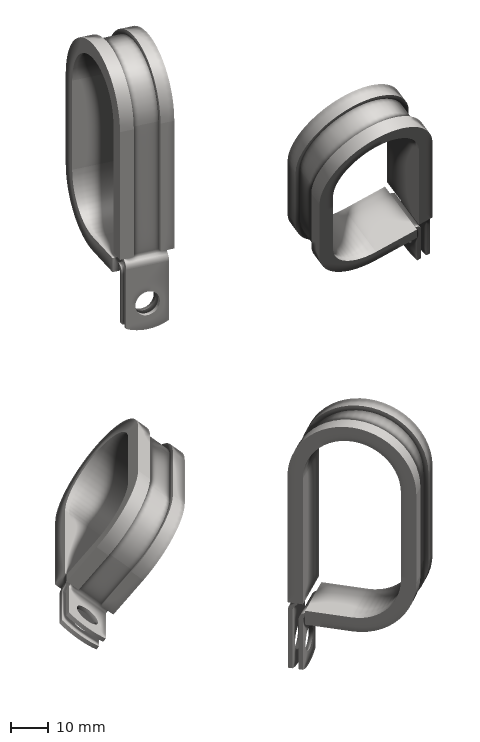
import cadquery as cq
import math

overall_height = 78.8
cushion_width = 15.75
cushion_thickness = 4.25
loop_right_x = 35.5
outer_radius = loop_right_x / 2
inner_radius = outer_radius - cushion_thickness
upper_center_z = overall_height - outer_radius
lower_center_z = 34.1
foot_end_x = 30.65
long_leg_end_z = 22.45
loop_bottom_z = lower_center_z - outer_radius

groove_width = 7.7
groove_depth = 1.4
groove_floor_radius = outer_radius - groove_depth

strap_thickness = 1.2
tab_width = 12.45
bend_inner_radius = 1.1
bend_outer_radius = bend_inner_radius + strap_thickness
jog_angle = 45.0
outer_tab_face_x = 35.85
tip_height = 1.4
hole_diameter = 7.1
hole_center_z = 7.8


def extrude_centered(profile, width):
    """Extrude an XZ profile symmetrically about Y = 0."""
    return profile.extrude(width / 2, both=True)


def oblong(radius):
    """Solid oblong with round ends, as wide as the cushion along Y."""
    profile = (
        cq.Workplane("XZ")
        .moveTo(outer_radius - radius, lower_center_z)
        .lineTo(outer_radius - radius, upper_center_z)
        .threePointArc((outer_radius, upper_center_z + radius), (outer_radius + radius, upper_center_z))
        .lineTo(outer_radius + radius, lower_center_z)
        .threePointArc((outer_radius, lower_center_z - radius), (outer_radius - radius, lower_center_z))
        .close()
    )
    return extrude_centered(profile, cushion_width)


def loop_blank(radius):
    """Full outside shape: round on the left and top, square at the lower right."""
    corner = cq.Workplane("XZ").moveTo(outer_radius, lower_center_z)
    corner = corner.rect(radius, -radius, centered=False)
    return oblong(radius).union(extrude_centered(corner, cushion_width))


def opening_cutter():
    """Space below the long leg and to the right of the foot."""
    inner_right_x = loop_right_x - cushion_thickness
    inner_bottom_z = loop_bottom_z + cushion_thickness
    profile = (
        cq.Workplane("XZ")
        .moveTo(foot_end_x, loop_bottom_z)
        .lineTo(loop_right_x, loop_bottom_z)
        .lineTo(loop_right_x, long_leg_end_z)
        .lineTo(inner_right_x, long_leg_end_z)
        .lineTo(inner_right_x, lower_center_z)
        .lineTo(outer_radius, lower_center_z)
        .lineTo(outer_radius, inner_bottom_z)
        .lineTo(foot_end_x, inner_bottom_z)
        .close()
    )
    return extrude_centered(profile, cushion_width)


def cushion():
    groove_band = cq.Workplane("XY").box(loop_right_x, groove_width, overall_height)
    groove_band = groove_band.translate((outer_radius, 0, overall_height / 2))
    groove = groove_band.cut(loop_blank(groove_floor_radius))
    return loop_blank(outer_radius).cut(oblong(inner_radius)).cut(opening_cutter()).cut(groove)


def inner_tab():
    """Tab leaving the foot and turning down through a right angle."""
    center_z = loop_bottom_z + groove_depth - bend_inner_radius
    diagonal = math.sqrt(0.5)

    def bend_middle(radius):
        return (foot_end_x + radius * diagonal, center_z + radius * diagonal)

    profile = (
        cq.Workplane("XZ")
        .moveTo(foot_end_x, center_z + bend_outer_radius)
        .threePointArc(bend_middle(bend_outer_radius), (foot_end_x + bend_outer_radius, center_z))
        .lineTo(foot_end_x + bend_outer_radius, 0)
        .lineTo(foot_end_x + bend_inner_radius, 0)
        .lineTo(foot_end_x + bend_inner_radius, center_z)
        .threePointArc(bend_middle(bend_inner_radius), (foot_end_x, center_z + bend_inner_radius))
        .close()
    )
    return extrude_centered(profile, tab_width)


def outer_tab():
    """Tab leaving the long leg, jogging outward and then running straight down."""
    upper_face_x = loop_right_x - groove_depth
    angle = math.radians(jog_angle)
    bend_radius_sum = bend_inner_radius + bend_outer_radius
    slope_run = outer_tab_face_x - upper_face_x - bend_radius_sum * (1 - math.cos(angle))
    jog_height = bend_radius_sum * math.sin(angle) + slope_run / math.tan(angle)
    upper_center = (upper_face_x + bend_inner_radius, long_leg_end_z)
    lower_center = (outer_tab_face_x - bend_outer_radius, long_leg_end_z - jog_height)

    def upper_point(radius, turn):
        return (upper_center[0] - radius * math.cos(turn), upper_center[1] - radius * math.sin(turn))

    def lower_point(radius, turn):
        return (lower_center[0] + radius * math.cos(turn), lower_center[1] + radius * math.sin(turn))

    profile = (
        cq.Workplane("XZ")
        .moveTo(*upper_point(bend_inner_radius, 0))
        .threePointArc(upper_point(bend_inner_radius, angle / 2), upper_point(bend_inner_radius, angle))
        .lineTo(*lower_point(bend_outer_radius, angle))
        .threePointArc(lower_point(bend_outer_radius, angle / 2), lower_point(bend_outer_radius, 0))
        .lineTo(outer_tab_face_x, 0)
        .lineTo(outer_tab_face_x - strap_thickness, 0)
        .lineTo(*lower_point(bend_inner_radius, 0))
        .threePointArc(lower_point(bend_inner_radius, angle / 2), lower_point(bend_inner_radius, angle))
        .lineTo(*upper_point(bend_outer_radius, angle))
        .threePointArc(upper_point(bend_outer_radius, angle / 2), upper_point(bend_outer_radius, 0))
        .close()
    )
    return extrude_centered(profile, tab_width)


def tab_face():
    """Shared tab outline along X: a curved tip and a bolt hole."""
    half_width = tab_width / 2
    outline = (
        cq.Workplane("YZ")
        .moveTo(-half_width, tip_height)
        .threePointArc((0, 0), (half_width, tip_height))
        .lineTo(half_width, long_leg_end_z)
        .lineTo(-half_width, long_leg_end_z)
        .close()
        .extrude(outer_tab_face_x)
    )
    hole = (
        cq.Workplane("YZ")
        .center(0, hole_center_z)
        .circle(hole_diameter / 2)
        .extrude(outer_tab_face_x)
    )
    return outline.cut(hole)


tabs = [tab.intersect(tab_face()) for tab in (inner_tab(), outer_tab())]
result = cushion().union(tabs[0]).union(tabs[1])